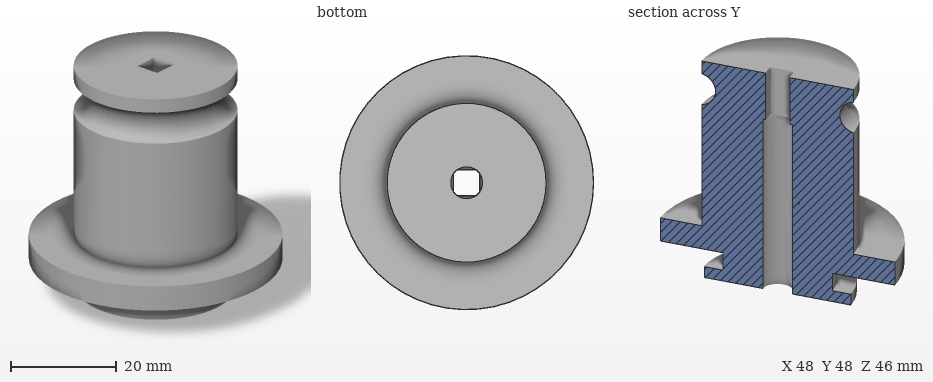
import cadquery as cq
import math

TOTAL_HEIGHT = 46.0
FOOT_TOP = 2.4
FLANGE_BOTTOM = 6.0
FLANGE_THICKNESS = 5.0
FLANGE_TOP = FLANGE_BOTTOM + FLANGE_THICKNESS

FOOT_RADIUS = 15.0
NECK_RADIUS = 11.25
FLANGE_RADIUS = 24.0
BARREL_RADIUS = 15.5

GROOVE_HEIGHT = 40.0
GROOVE_RADIUS = 3.25
GROOVE_CENTER_RADIUS = 16.0

SOCKET_WIDTH = 4.9
SOCKET_DEPTH = 10.0
BORE_RADIUS = 3.0


def turned_body():
    """Foot, neck, flange and grooved barrel as one revolved profile."""
    groove_offset = GROOVE_CENTER_RADIUS - BARREL_RADIUS
    groove_half_width = math.sqrt(GROOVE_RADIUS**2 - groove_offset**2)
    groove_floor_radius = GROOVE_CENTER_RADIUS - GROOVE_RADIUS
    profile = (
        cq.Workplane("XZ")
        .moveTo(0, 0)
        .lineTo(FOOT_RADIUS, 0)
        .lineTo(FOOT_RADIUS, FOOT_TOP)
        .lineTo(NECK_RADIUS, FOOT_TOP)
        .lineTo(NECK_RADIUS, FLANGE_BOTTOM)
        .lineTo(FLANGE_RADIUS, FLANGE_BOTTOM)
        .lineTo(FLANGE_RADIUS, FLANGE_TOP)
        .lineTo(BARREL_RADIUS, FLANGE_TOP)
        .lineTo(BARREL_RADIUS, GROOVE_HEIGHT - groove_half_width)
        .threePointArc(
            (groove_floor_radius, GROOVE_HEIGHT),
            (BARREL_RADIUS, GROOVE_HEIGHT + groove_half_width),
        )
        .lineTo(BARREL_RADIUS, TOTAL_HEIGHT)
        .lineTo(0, TOTAL_HEIGHT)
        .close()
    )
    return profile.revolve(360, (0, 0, 0), (0, 1, 0))


def axial_passage():
    """Square socket opening at the top, joined to a round bore from the bottom."""
    socket_floor = TOTAL_HEIGHT - SOCKET_DEPTH
    bore = cq.Workplane("XY").circle(BORE_RADIUS).extrude(socket_floor)
    socket = (
        cq.Workplane("XY")
        .workplane(offset=socket_floor)
        .rect(SOCKET_WIDTH, SOCKET_WIDTH)
        .extrude(SOCKET_DEPTH)
    )
    return bore.union(socket)


result = turned_body().cut(axial_passage())